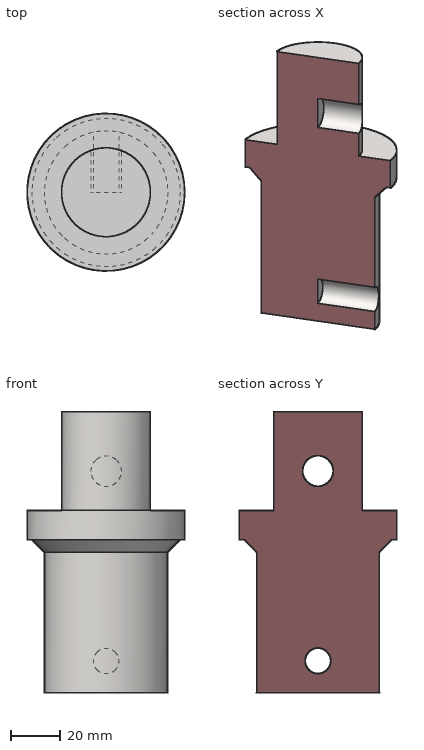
import cadquery as cq

total_height = 114.0
body_height = 57.0
cone_height = 5.0
flange_thickness = 12.0

body_radius = 50.0 / 2
flange_radius = 64.0 / 2
spigot_radius = 36.0 / 2
cone_top_radius = body_radius + cone_height

cone_top = body_height + cone_height
flange_top = cone_top + flange_thickness

spigot_hole_diameter = 12.3
spigot_hole_height = 90.0
body_hole_diameter = 10.3
body_hole_height = 13.0


def turned_profile():
    """Revolve the half outline about the Z axis."""
    return (
        cq.Workplane("XZ")
        .moveTo(0, 0)
        .lineTo(body_radius, 0)
        .lineTo(body_radius, body_height)
        .lineTo(cone_top_radius, cone_top)
        .lineTo(flange_radius, cone_top)
        .lineTo(flange_radius, flange_top)
        .lineTo(spigot_radius, flange_top)
        .lineTo(spigot_radius, total_height)
        .lineTo(0, total_height)
        .close()
        .revolve(360, (0, 0), (0, 1))
    )


def radial_hole(diameter, height):
    """Cylinder along Y from the axis to beyond the largest radius on the +Y side."""
    return (
        cq.Workplane("XZ")
        .center(0, height)
        .circle(diameter / 2)
        .extrude(-flange_radius)
    )


result = (
    turned_profile()
    .cut(radial_hole(spigot_hole_diameter, spigot_hole_height))
    .cut(radial_hole(body_hole_diameter, body_hole_height))
)